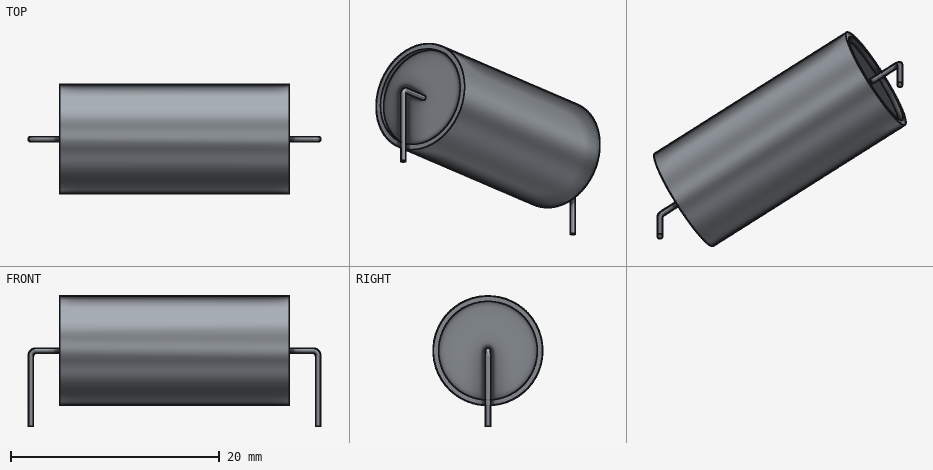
import cadquery as cq

body_diameter = 10.5
body_length = 22.0
recess_diameter = 9.45
recess_depth = (body_diameter - recess_diameter) / 2

lead_diameter = 0.5
lead_pitch = 27.5
lead_drop = 2.0
bend_radius = 0.5

lead_embed = 0.5

axis_height = body_diameter / 2
half_length = body_length / 2
recess_floor_x = half_length - recess_depth


def x_cylinder(diameter, start_x, length):
    """Cylinder on the body axis, running toward +X from start_x."""
    return (
        cq.Workplane("YZ", origin=(start_x, 0, axis_height))
        .circle(diameter / 2)
        .extrude(length)
    )


def make_body():
    """Solid cylinder with a shallow round recess in each end face."""
    body = x_cylinder(body_diameter, -half_length, body_length)
    for recess_start in (-half_length, recess_floor_x):
        body = body.cut(x_cylinder(recess_diameter, recess_start, recess_depth))
    return body


def make_right_lead():
    """Round wire leaving the +X recess floor and bending down to its tip."""
    start_x = recess_floor_x - lead_embed
    lead_x = lead_pitch / 2
    bend_center = (lead_x - bend_radius, axis_height - bend_radius)
    path = (
        cq.Workplane("XZ")
        .moveTo(start_x, axis_height)
        .lineTo(bend_center[0], axis_height)
        .tangentArcPoint((lead_x, bend_center[1]), relative=False)
        .lineTo(lead_x, -lead_drop)
    )
    section = cq.Workplane("YZ", origin=(start_x, 0, axis_height)).circle(lead_diameter / 2)
    return section.sweep(path)


right_lead = make_right_lead()
left_lead = right_lead.mirror("YZ")
result = make_body().union(right_lead).union(left_lead)